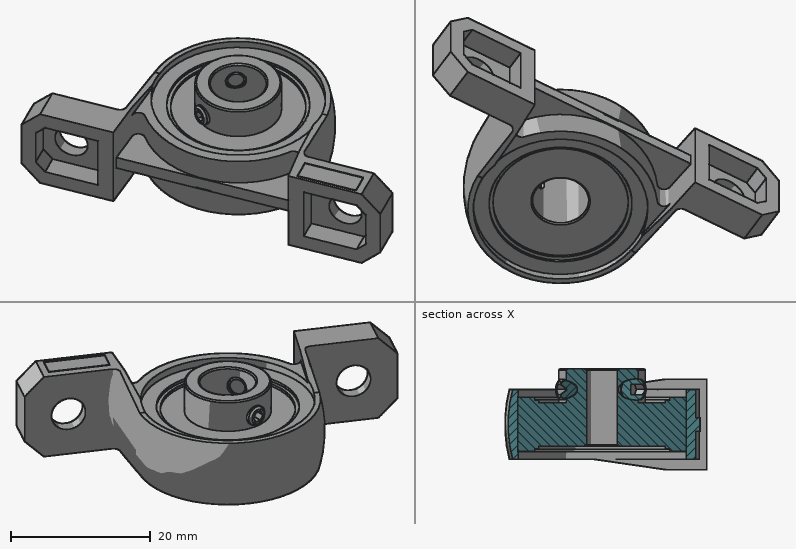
import cadquery as cq
import math


LENGTH = 55.0
AXIS_HEIGHT = 15.0
RING_RADIUS = 13.9
RING_HEIGHT = 10.0
SIDE_ARC_RADIUS = 20.0
SEAT_RADIUS = 12.5
ARM_ANGLE = 4.8
ARM_THICKNESS = 1.8
ROOT_FILLET = 1.0

FOOT_WIDTH = 13.0
FOOT_HEIGHT = 4.95
FOOT_INNER_START = 12.1
FOOT_CHAMFER = 2.85
BOLT_HOLE_SPACING = 42.0
BOLT_HOLE_DIAMETER = 5.0
RECESS_DEPTH = 3.0
RECESS_INNER_X = 15.8
RECESS_OUTER_X = 25.3
RECESS_WIDTH = 8.3
RECESS_CHAMFER = 1.45

LABEL_LENGTH = 8.95
LABEL_WIDTH = 3.0
LABEL_CENTRE_X = 19.1
LABEL_CENTRE_HEIGHT = 2.05
LABEL_DEPTH = 0.1

WEB_THICKNESS = 2.0
WEB_SETBACK = 1.0

RACE_HEIGHT = 7.8
STEP_RADII = (10.25, 9.7)
STEP_DEPTH = 0.4
COLLAR_TOP = 8.0
COLLAR_RADIUS = 6.2
COLLAR_CHAMFER = 0.2
BORE_RADIUS = 4.0
BORE_CHAMFER = 0.2

SCREW_RADIUS = 1.5
SCREW_ANGLES = (116.0, 236.0)
SCREW_OUTER_END = 6.8
SCREW_LENGTH = 2.8
SCREW_CHAMFER = 0.35
SOCKET_ACROSS_FLATS = 1.5
SOCKET_DEPTH = 1.5

BASE_Y = -AXIS_HEIGHT
FOOT_TOP_Y = BASE_Y + FOOT_HEIGHT
RING_TOP = RING_HEIGHT / 2
FOOT_TOP_Z = FOOT_WIDTH / 2
SCREW_Z = RING_TOP
ARM_SLOPE = math.radians(ARM_ANGLE)
ARM_INNER_DISTANCE = RING_RADIUS - ARM_THICKNESS


def crown_drop(half_height):
    """How far the crowned side lies inside its widest point at a distance from mid-plane."""
    return SIDE_ARC_RADIUS - math.sqrt(SIDE_ARC_RADIUS**2 - half_height**2)


def crowned_ring():
    edge_radius = RING_RADIUS - crown_drop(RING_TOP)
    return (
        cq.Workplane("XZ")
        .moveTo(0, -RING_TOP)
        .lineTo(edge_radius, -RING_TOP)
        .threePointArc((RING_RADIUS, 0), (edge_radius, RING_TOP))
        .lineTo(0, RING_TOP)
        .close()
        .revolve(360, (0, 0), (0, 1))
    )


def passage():
    """The space between the inner sides of the arms and feet."""
    top_x = ARM_INNER_DISTANCE * math.cos(ARM_SLOPE)
    top_y = ARM_INNER_DISTANCE * math.sin(ARM_SLOPE)
    bottom_x = top_x + (top_y - BASE_Y) * math.tan(ARM_SLOPE)
    return (
        cq.Workplane("XY")
        .polyline([(-top_x, top_y), (top_x, top_y), (bottom_x, BASE_Y), (-bottom_x, BASE_Y)])
        .close()
        .extrude(FOOT_TOP_Z, both=True)
    )


def arm(side):
    """One arm, with the ring's crowned section run along the tangent down into the foot."""
    start = cq.Vector(side * RING_RADIUS * math.cos(ARM_SLOPE), RING_RADIUS * math.sin(ARM_SLOPE), 0)
    outward = cq.Vector(side * math.cos(ARM_SLOPE), math.sin(ARM_SLOPE), 0)
    downward = cq.Vector(side * math.sin(ARM_SLOPE), -math.cos(ARM_SLOPE), 0)
    end_y = BASE_Y + FOOT_HEIGHT / 2
    length = (start.y - end_y) / math.cos(ARM_SLOPE)
    corner_x = -crown_drop(FOOT_TOP_Z)
    return (
        cq.Workplane(cq.Plane(start, outward, downward))
        .moveTo(-ARM_THICKNESS, -FOOT_TOP_Z)
        .lineTo(corner_x, -FOOT_TOP_Z)
        .threePointArc((0, 0), (corner_x, FOOT_TOP_Z))
        .lineTo(-ARM_THICKNESS, FOOT_TOP_Z)
        .close()
        .extrude(length)
    )


def outer_corners(side):
    """Selector for the two corner edges at the end of a foot away from the bearing."""
    return "|Y and >X" if side > 0 else "|Y and <X"


def foot(side):
    width = LENGTH / 2 - FOOT_INNER_START
    return (
        cq.Workplane("XY")
        .box(width, FOOT_HEIGHT, FOOT_WIDTH, centered=(True, False, True))
        .translate((side * (FOOT_INNER_START + width / 2), BASE_Y, 0))
        .edges(outer_corners(side))
        .chamfer(FOOT_CHAMFER)
    )


def foot_recess(side):
    length = RECESS_OUTER_X - RECESS_INNER_X
    return (
        cq.Workplane("XY")
        .box(length, RECESS_DEPTH, RECESS_WIDTH, centered=(True, False, True))
        .translate((side * (RECESS_INNER_X + length / 2), BASE_Y, 0))
        .edges(outer_corners(side))
        .chamfer(RECESS_CHAMFER)
    )


def bolt_hole(side):
    return (
        cq.Workplane("XZ", origin=(side * BOLT_HOLE_SPACING / 2, FOOT_TOP_Y, 0))
        .circle(BOLT_HOLE_DIAMETER / 2)
        .extrude(FOOT_HEIGHT)
    )


def arm_taper_cuts():
    """Wedges that narrow the arms from the foot width down to the ring height."""
    wide_y = FOOT_TOP_Y + ROOT_FILLET
    narrow_y = RING_RADIUS * math.sin(ARM_SLOPE)
    upper = (
        cq.Workplane("YZ")
        .polyline([
            (wide_y, FOOT_TOP_Z),
            (narrow_y, RING_TOP),
            (RING_RADIUS, RING_TOP),
            (RING_RADIUS, FOOT_TOP_Z),
        ])
        .close()
        .extrude(LENGTH / 2, both=True)
    )
    return upper.union(upper.mirror("XY"))


def label_panel():
    return cq.Workplane("XY").box(LABEL_LENGTH, LABEL_WIDTH, LABEL_DEPTH).translate(
        (LABEL_CENTRE_X, BASE_Y + LABEL_CENTRE_HEIGHT, FOOT_TOP_Z - LABEL_DEPTH / 2)
    )


def nearest_edge(x, y):
    return cq.selectors.NearestToPointSelector((x, y, 0))


def leg(side):
    """An arm and its foot, joined by the root fillet on the outer side."""
    root_edge = nearest_edge(side * RING_RADIUS, FOOT_TOP_Y)
    return (
        arm(side)
        .union(foot(side))
        .edges("%ELLIPSE")
        .edges(root_edge)
        .fillet(ROOT_FILLET)
        .cut(passage())
        .cut(arm_taper_cuts())
    )


def front_disc():
    """The straight-sided part of the ring that faces the web."""
    return cq.Workplane("XY").circle(RING_RADIUS).extrude(RING_TOP, both=True).intersect(passage())


def fillet_disc_corners(body):
    """Round the two corners where the disc meets the inner sides of the arms."""
    corner_angle = ARM_SLOPE - math.acos(ARM_INNER_DISTANCE / RING_RADIUS)
    corner_x = RING_RADIUS * math.cos(corner_angle)
    corner_y = RING_RADIUS * math.sin(corner_angle)
    for side in (-1, 1):
        body = body.edges(nearest_edge(side * corner_x, corner_y)).fillet(ROOT_FILLET)
    return body


def web():
    return (
        cq.Workplane("XY")
        .box(LENGTH, AXIS_HEIGHT - WEB_SETBACK, WEB_THICKNESS, centered=(True, False, True))
        .translate((0, BASE_Y + WEB_SETBACK, 0))
        .intersect(passage())
    )


def make_housing():
    body = crowned_ring().union(leg(-1)).union(leg(1)).union(front_disc())
    body = fillet_disc_corners(body).union(web())
    seat = cq.Workplane("XY").circle(SEAT_RADIUS).extrude(FOOT_TOP_Z, both=True)
    body = body.cut(seat)
    for side in (-1, 1):
        body = body.cut(foot_recess(side)).cut(bolt_hole(side))
    return body.cut(label_panel())


def screw_plane(angle, distance):
    """A plane facing outwards along a set screw's axis, at a distance from the bore axis."""
    outward = cq.Vector(math.cos(math.radians(angle)), math.sin(math.radians(angle)), 0)
    return cq.Plane(outward * distance + cq.Vector(0, 0, SCREW_Z), cq.Vector(0, 0, 1), outward)


def make_bearing():
    race_top = RACE_HEIGHT / 2
    shield_top = race_top - len(STEP_RADII) * STEP_DEPTH
    body = cq.Workplane("XY").circle(SEAT_RADIUS).extrude(race_top, both=True)
    for count, radius in enumerate(STEP_RADII, start=1):
        depth = count * STEP_DEPTH
        step = cq.Workplane("XY", origin=(0, 0, race_top - depth)).circle(radius).extrude(depth)
        body = body.cut(step).cut(step.mirror("XY"))
    collar = (
        cq.Workplane("XY")
        .circle(COLLAR_RADIUS)
        .extrude(COLLAR_TOP)
        .faces(">Z")
        .chamfer(COLLAR_CHAMFER)
    )
    bore = cq.Workplane("XY", origin=(0, 0, -shield_top)).circle(BORE_RADIUS).extrude(shield_top + COLLAR_TOP)
    body = body.union(collar).cut(bore)
    body = body.edges(cq.selectors.RadiusNthSelector(0)).edges(">Z or <Z").chamfer(BORE_CHAMFER)
    for angle in SCREW_ANGLES:
        screw_hole = cq.Workplane(screw_plane(angle, 0)).circle(SCREW_RADIUS).extrude(SCREW_OUTER_END)
        body = body.cut(screw_hole)
    return body


def make_screw(angle):
    tip = SCREW_OUTER_END - SCREW_LENGTH
    body = (
        cq.Workplane(screw_plane(angle, tip))
        .circle(SCREW_RADIUS)
        .extrude(SCREW_LENGTH)
        .edges()
        .chamfer(SCREW_CHAMFER)
    )
    socket = (
        cq.Workplane(screw_plane(angle, SCREW_OUTER_END))
        .polygon(6, SOCKET_ACROSS_FLATS, circumscribed=True)
        .extrude(-SOCKET_DEPTH)
    )
    return body.cut(socket)


housing = make_housing()
bearing = make_bearing()
screws = [make_screw(angle) for angle in SCREW_ANGLES]

result = cq.Compound.makeCompound([housing.val(), bearing.val(), *[screw.val() for screw in screws]])